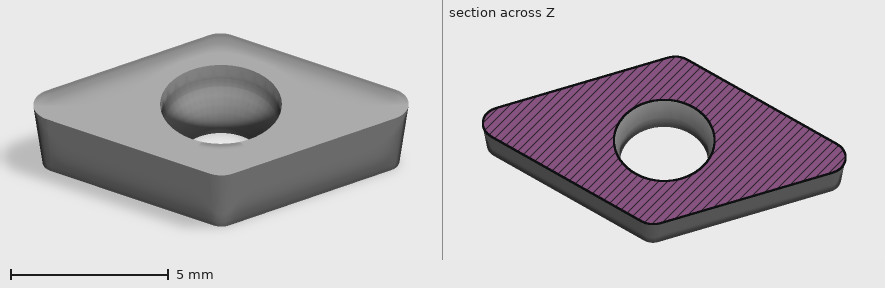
import cadquery as cq
import math

inscribed_circle = 6.35
thickness = 2.38
nose_radius = 0.794
acute_angle = 55.0
clearance_angle = 7.0

entry_diameter = 3.86
blend_diameter = 3.74
seat_diameter = 3.6
bore_diameter = 2.8
entry_depth = 0.52
bore_length = 0.25
seat_curvature_radius = 2.5


def rhombus_corners(height):
    """Corners of a rhombus centred on the origin, with two sides along X."""
    angle = math.radians(acute_angle)
    side = height / math.sin(angle)
    slant = height / math.tan(angle)
    right = (side + slant) / 2
    left = (slant - side) / 2
    half_height = height / 2
    return [
        (-right, -half_height),
        (-left, -half_height),
        (right, half_height),
        (left, half_height),
    ]


def insert_body():
    """Rounded rhombus at the top face, narrowing downwards by the clearance angle."""
    nose_centres = rhombus_corners(inscribed_circle - 2 * nose_radius)
    outline = cq.Workplane("XY").workplane(offset=thickness).polyline(nose_centres).close()
    return outline.offset2D(nose_radius).extrude(-thickness, taper=clearance_angle)


def seat_height_at(radius):
    """Z of the curved seat at a distance from the hole axis; the seat meets the bore tangentially."""
    inset = seat_curvature_radius - (radius - bore_diameter / 2)
    return bore_length + math.sqrt(seat_curvature_radius**2 - inset**2)


def screw_hole():
    """Revolved cutter for the hole, with its axis along Z."""
    entry_radius = entry_diameter / 2
    blend_radius = blend_diameter / 2
    seat_radius = seat_diameter / 2
    bore_radius = bore_diameter / 2
    seat_middle_radius = (seat_radius + bore_radius) / 2
    profile = (
        cq.Workplane("XZ")
        .moveTo(0, thickness)
        .lineTo(entry_radius, thickness)
        .lineTo(blend_radius, thickness - entry_depth)
        .tangentArcPoint((seat_radius, seat_height_at(seat_radius)), relative=False)
        .threePointArc(
            (seat_middle_radius, seat_height_at(seat_middle_radius)),
            (bore_radius, bore_length),
        )
        .lineTo(bore_radius, 0)
        .lineTo(0, 0)
        .close()
    )
    return profile.revolve(360, (0, 0, 0), (0, 1, 0))


result = insert_body().cut(screw_hole())